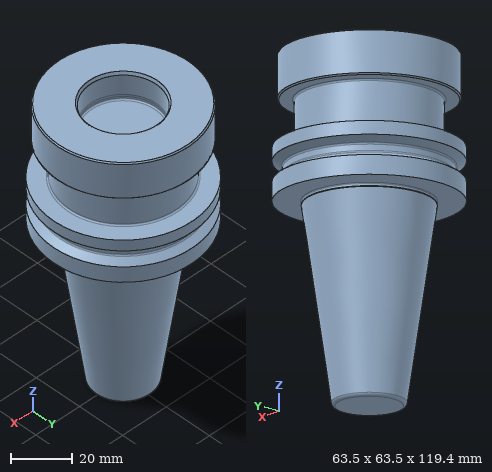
import cadquery as cq
import math

total_height = 119.4
gauge_height = 68
flange_bottom = 69.4
groove_center = 79.5
flange_top = 87.6
head_bottom = 103.9

gauge_diameter = 44.4
flange_diameter = 63.5
groove_diameter = 56.6
neck_diameter = 49
head_diameter = 60.0
bore_diameter = 30.0

taper_ratio = 7 / 24
shank_end_fillet = 1.2

collar_relief_depth = 0.18
collar_relief_edge = 0.3

groove_mouth_width = 6.9
groove_wall_angle = 30
groove_fillet = 0.7

neck_fillet = 0.6
head_chamfer = 0.5

bore_depth = 11.9
mouth_flare = 0.6
mouth_chamfer_depth = 1.2
bore_relief_start = 9.5
bore_relief_depth = 0.18
bore_relief_cone_length = 1.1
bore_floor_fillet = 0.6


def turn(points):
    """Revolve a closed outline of (radius, height) points about the tool axis."""
    return cq.Workplane("XZ").polyline(points).close().revolve(360, (0, 0, 0), (0, 1, 0))


def cylinder(bottom, top, diameter):
    """Cylinder on the tool axis between two heights."""
    return cq.Workplane("XY").workplane(offset=bottom).circle(diameter / 2).extrude(top - bottom)


def make_shank():
    """Tapered shank with a slightly relieved collar at its large end."""
    gauge_radius = gauge_diameter / 2
    end_radius = gauge_radius - gauge_height * taper_ratio / 2
    collar_radius = gauge_radius - collar_relief_depth
    shank = turn([
        (0, 0),
        (end_radius, 0),
        (gauge_radius, gauge_height),
        (collar_radius, gauge_height + collar_relief_edge),
        (collar_radius, flange_bottom),
        (0, flange_bottom),
    ])
    return shank.faces("<Z").edges().fillet(shank_end_fillet)


def make_flange():
    """Flange with a V-groove rounded at its floor."""
    flange_radius = flange_diameter / 2
    groove_radius = groove_diameter / 2
    wall_rise = (flange_radius - groove_radius) * math.tan(math.radians(groove_wall_angle))
    half_mouth = groove_mouth_width / 2
    half_floor = half_mouth - wall_rise
    flange = turn([
        (0, flange_bottom),
        (flange_radius, flange_bottom),
        (flange_radius, groove_center - half_mouth),
        (groove_radius, groove_center - half_floor),
        (groove_radius, groove_center + half_floor),
        (flange_radius, groove_center + half_mouth),
        (flange_radius, flange_top),
        (0, flange_top),
    ])
    floor_edges = flange.edges(cq.selectors.RadiusNthSelector(0))
    return floor_edges.fillet(groove_fillet)


def make_head():
    """Wide head with both outer edges chamfered."""
    head = cylinder(head_bottom, total_height, head_diameter)
    return head.edges("%CIRCLE").chamfer(head_chamfer)


def make_bore():
    """Solid that fills the blind bore."""
    bore_radius = bore_diameter / 2
    relief_radius = bore_radius + bore_relief_depth
    relief_top = total_height - bore_relief_start
    floor_height = total_height - bore_depth
    bore = turn([
        (0, total_height),
        (bore_radius + mouth_flare, total_height),
        (bore_radius, total_height - mouth_chamfer_depth),
        (bore_radius, relief_top),
        (relief_radius, relief_top - bore_relief_cone_length),
        (relief_radius, floor_height),
        (0, floor_height),
    ])
    return bore.faces("<Z").edges().fillet(bore_floor_fillet)


def round_corner(body, height, radius, fillet):
    """Fillet the circular inside corner with the given height and radius."""

    def is_corner(edge):
        at_height = abs(edge.Center().z - height) < 0.01
        return at_height and abs(edge.radius() - radius) < 0.01

    return body.edges("%CIRCLE").filter(is_corner).fillet(fillet)


neck = cylinder(flange_top, head_bottom, neck_diameter)
body = make_shank().union(make_flange()).union(neck).union(make_head())
for neck_end in (flange_top, head_bottom):
    body = round_corner(body, neck_end, neck_diameter / 2, neck_fillet)
body = round_corner(body, flange_bottom, gauge_diameter / 2 - collar_relief_depth, collar_relief_edge)

result = body.cut(make_bore())